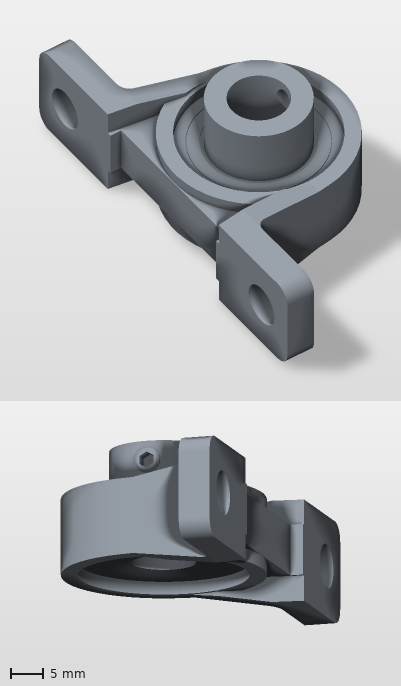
import cadquery as cq
import math

length = 67.0
lug_height = 16.1
lug_thickness = 5.0
lug_corner_radius = 2.7
mount_hole_diameter = 7.0
mount_hole_spacing = 53.05
mid_z = lug_height / 2

axis_y = 18.0
ring_radius = 15.95
ring_height = 12.05
ring_bottom = mid_z - ring_height / 2
ring_top = mid_z + ring_height / 2

wall_angle = math.radians(8.0)
wall_thickness = 3.6
wall_fillet = 2.0
wall_relief_radius = 13.9

strap_bottom_y = 2.0
strap_half_width = 14.3
strap_height = 8.05

bearing_diameter = 26.5
bearing_recess = 2.0
bearing_bottom = ring_bottom + bearing_recess
bearing_top = ring_top - bearing_recess
seal_groove_outer = 22.7
seal_groove_inner = 22.45
seal_groove_depth = 0.2
inner_gap_diameter = 18.35
inner_gap_depth = 0.2
collar_diameter = 17.0
collar_top = 21.5
shaft_diameter = 10.0

screw_z = 18.4
screw_diameter = 4.0
screw_tip_diameter = 3.2
screw_proud = 0.4
screw_chamfer = (screw_diameter - screw_tip_diameter) / 2
socket_across_flats = 2.2
socket_depth = 2.0
screw_hole_diameter = 3.5


def cylinder(diameter, bottom, top):
    """Upright cylinder on the bearing axis."""
    return cq.Workplane("XY", origin=(0, axis_y, bottom)).circle(diameter / 2).extrude(top - bottom)


def wall_x(offset, y):
    """X of the right wall at a given y, offset inward from the ring tangent."""
    return (ring_radius - offset) / math.cos(wall_angle) + (axis_y - y) * math.tan(wall_angle)


def make_side():
    """Right-hand lug with its flared wall."""
    tangent_x = ring_radius * math.cos(wall_angle)
    tangent_y = axis_y + ring_radius * math.sin(wall_angle)
    inner_tangent_x = tangent_x - wall_thickness * math.cos(wall_angle)
    inner_tangent_y = tangent_y - wall_thickness * math.sin(wall_angle)
    side = (
        cq.Workplane("XY")
        .moveTo(wall_x(wall_thickness, 0), 0)
        .lineTo(length / 2, 0)
        .lineTo(length / 2, lug_thickness)
        .lineTo(wall_x(0, lug_thickness), lug_thickness)
        .lineTo(tangent_x, tangent_y)
        .lineTo(inner_tangent_x, inner_tangent_y)
        .close()
        .extrude(lug_height)
    )
    inner_corner = cq.selectors.NearestToPointSelector((wall_x(0, lug_thickness), lug_thickness, mid_z))
    side = side.edges(inner_corner).fillet(wall_fillet)

    taper = (
        cq.Workplane("YZ")
        .polyline([
            (0, 0),
            (lug_thickness, 0),
            (axis_y, ring_bottom),
            (tangent_y, ring_bottom),
            (tangent_y, ring_top),
            (axis_y, ring_top),
            (lug_thickness, lug_height),
            (0, lug_height),
        ])
        .close()
        .extrude(length)
    )
    side = side.intersect(taper).cut(cylinder(2 * wall_relief_radius, 0, lug_height))

    side = side.edges("|Y and >X").fillet(lug_corner_radius)
    hole = (
        cq.Workplane("XZ", origin=(mount_hole_spacing / 2, 0, mid_z))
        .circle(mount_hole_diameter / 2)
        .extrude(-lug_thickness)
    )
    return side.cut(hole)


def make_strap():
    """Strap between the lugs, lower than the ring on both faces."""
    mid_wall = wall_thickness / 2
    half_outline = [
        (strap_half_width, strap_bottom_y),
        (strap_half_width, 0),
        (wall_x(mid_wall, 0), 0),
        (wall_x(mid_wall, axis_y), axis_y),
    ]
    mirrored_outline = [(-x, y) for x, y in reversed(half_outline)]
    return (
        cq.Workplane("XY", origin=(0, 0, mid_z - strap_height / 2))
        .polyline(half_outline + mirrored_outline)
        .close()
        .extrude(strap_height)
    )


def make_housing():
    right_side = make_side()
    housing = cylinder(2 * ring_radius, ring_bottom, ring_top)
    housing = housing.union(right_side).union(right_side.mirror("YZ")).union(make_strap())
    return housing.cut(cylinder(bearing_diameter, ring_bottom, ring_top))


def make_bearing():
    bearing = cylinder(bearing_diameter, bearing_bottom, bearing_top)

    grooves = (
        (seal_groove_outer, seal_groove_inner, seal_groove_depth),
        (inner_gap_diameter, collar_diameter, inner_gap_depth),
    )
    for outer, inner, depth in grooves:
        floor_z = bearing_top - depth
        bearing = bearing.cut(cylinder(outer, floor_z, bearing_top).cut(cylinder(inner, floor_z, bearing_top)))

    bearing = bearing.union(cylinder(collar_diameter, bearing_bottom, collar_top))
    screw_end_x = -collar_diameter / 2 - screw_proud
    screw_face = cq.Workplane("YZ", origin=(screw_end_x, axis_y, screw_z))
    screw = screw_face.circle(screw_diameter / 2).extrude(-screw_end_x).faces("<X").chamfer(screw_chamfer)
    socket_radius = socket_across_flats / math.sqrt(3)
    corner_angles = [math.radians(30 + 60 * i) for i in range(6)]
    socket_corners = [(socket_radius * math.cos(a), socket_radius * math.sin(a)) for a in corner_angles]
    socket = screw_face.polyline(socket_corners).close().extrude(socket_depth)
    screw_hole = (
        cq.Workplane("XZ", origin=(0, axis_y, screw_z))
        .circle(screw_hole_diameter / 2)
        .extrude(-collar_diameter)
    )
    bearing = bearing.union(screw).cut(socket).cut(screw_hole)
    return bearing.cut(cylinder(shaft_diameter, bearing_bottom, collar_top))


housing = make_housing()
bearing = make_bearing()
result = cq.Compound.makeCompound([housing.val(), bearing.val()])